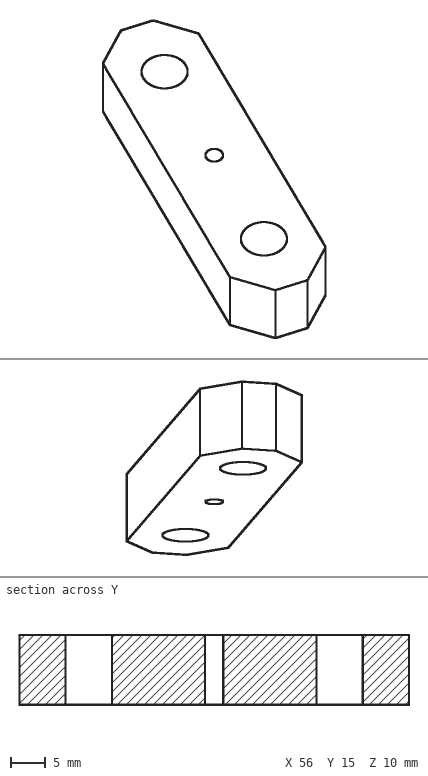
import cadquery as cq

length = 56.0
width = 15.0
height = 10.0
corner_chamfer = 5.0

end_hole_diameter = 6.6
end_hole_spacing = 36.0
center_hole_diameter = 2.5

block = (
    cq.Workplane("XY")
    .box(length, width, height)
    .edges("|Z")
    .chamfer(corner_chamfer)
)

result = (
    block.faces(">Z")
    .workplane()
    .rarray(end_hole_spacing, 0.55, 2, 1)
    .hole(end_hole_diameter)
    .faces(">Z")
    .workplane(origin=(0, 0, 0))
    .hole(center_hole_diameter)
)